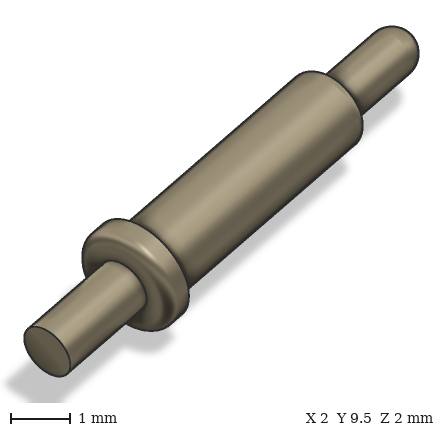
import cadquery as cq

total_length = 9.5
tail_length = 2.0
flange_thickness = 0.5
barrel_length = 5.0

tail_diameter = 1.0
flange_diameter = 2.0
barrel_diameter = 1.5
plunger_diameter = 0.9

edge_radius = 0.2

flange_start = tail_length
barrel_start = flange_start + flange_thickness
plunger_start = barrel_start + barrel_length
dome_start = total_length - plunger_diameter / 2


def cylinder(diameter, start, end):
    """Cylinder along +Y between two axial stations."""
    return cq.Workplane("XZ", origin=(0, start, 0)).circle(diameter / 2).extrude(start - end)


tail = cylinder(tail_diameter, 0, flange_start)

flange = cylinder(flange_diameter, flange_start, barrel_start).faces("<Y").edges().fillet(edge_radius)

barrel = cylinder(barrel_diameter, barrel_start, plunger_start).faces(">Y").edges().fillet(edge_radius)

plunger = cylinder(plunger_diameter, plunger_start, dome_start)
tip = (
    cq.Workplane("XY", origin=(0, dome_start, 0))
    .lineTo(plunger_diameter / 2, 0)
    .radiusArc((0, plunger_diameter / 2), -plunger_diameter / 2)
    .close()
    .revolve(360, (0, 0, 0), (0, 1, 0))
)

result = tail.union(flange).union(barrel).union(plunger).union(tip)